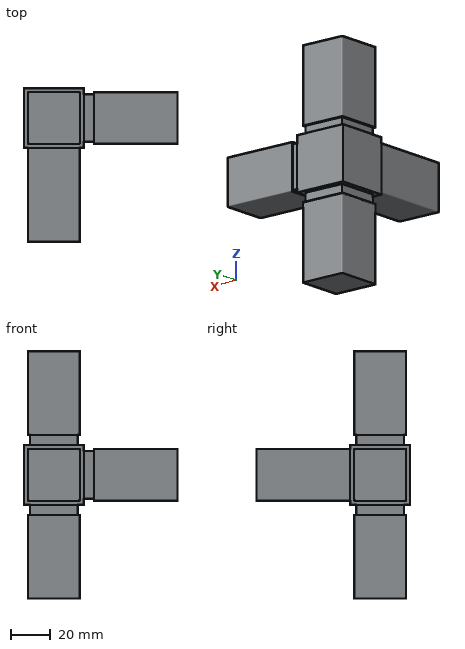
import cadquery as cq

HUB_SIZE = 30.0
ARM_REACH = 47.0
NECK_LENGTH = 5.0
NECK_WIDTH = 24.0
PLUG_WIDTH = 26.0
PLUG_EDGE_RADIUS = 0.5

HUB_HALF = HUB_SIZE / 2


def square_bar(width, start, length):
    """Square bar along +Z, centred on the Z axis and starting at height start."""
    return cq.Workplane("XY").workplane(offset=start).rect(width, width).extrude(length)


def plug(start):
    """Tube plug with rounded lengthwise edges, ending at the full arm reach."""
    length = HUB_HALF + ARM_REACH - start
    return square_bar(PLUG_WIDTH, start, length).edges("|Z").fillet(PLUG_EDGE_RADIUS)


def necked_arm():
    """Arm along +Z with a narrower neck next to the hub."""
    neck = square_bar(NECK_WIDTH, HUB_HALF, NECK_LENGTH)
    return neck.union(plug(HUB_HALF + NECK_LENGTH))


def turn(arm, axis, angle):
    """Rotate an arm about an axis through the hub centre."""
    return arm.rotate((0, 0, 0), axis, angle)


X_AXIS = (1, 0, 0)
Y_AXIS = (0, 1, 0)

hub = cq.Workplane("XY").box(HUB_SIZE, HUB_SIZE, HUB_SIZE)
upper_arm = necked_arm()
lower_arm = turn(necked_arm(), X_AXIS, 180)
side_arm = turn(necked_arm(), Y_AXIS, 90)
front_arm = turn(plug(HUB_HALF), X_AXIS, 90)

result = hub.union(upper_arm).union(lower_arm).union(side_arm).union(front_arm)